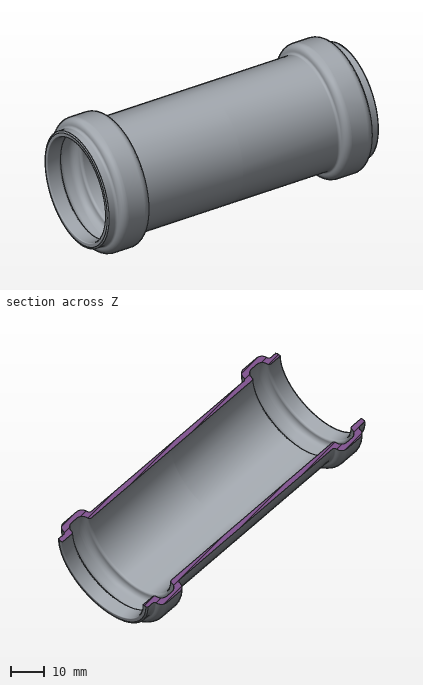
import cadquery as cq
import math

length = 94.0
wall = 1.8
bead_radius = 42.4 / 2
collar_radius = 36.6 / 2
tube_radius = 36.3 / 2

bead_crown_start = 5.45
bead_crown_end = 11.1

crown_round = 2.3
root_round = 0.8
shoulder_turn = math.radians(80)

outer_rim_width = 0.6
outer_rim_depth = 0.3
inner_rim_round = 0.3


def add_shoulder(profile, crown, root_radius, direction, rising):
    """Add the S-curve between the crown point (radius, y) and the pipe wall at root_radius.

    direction is the sense in Y from crown to root; rising curves are drawn from root to crown.
    """
    crown_radius, crown_y = crown
    rounds = crown_round + root_round
    sine = math.sin(shoulder_turn)
    cosine = math.cos(shoulder_turn)
    flank = (crown_radius - root_radius - rounds * (1 - cosine)) / sine
    root_y = crown_y + direction * (rounds * sine + flank * cosine)

    def crown_point(angle):
        return (crown_radius - crown_round * (1 - math.cos(angle)),
                crown_y + direction * crown_round * math.sin(angle))

    def root_point(angle):
        return (root_radius + root_round * (1 - math.cos(angle)),
                root_y - direction * root_round * math.sin(angle))

    crown_arc = [crown_point(0), crown_point(shoulder_turn / 2), crown_point(shoulder_turn)]
    root_arc = [root_point(shoulder_turn), root_point(shoulder_turn / 2), root_point(0)]
    first, second = crown_arc, root_arc
    if rising:
        first, second = root_arc[::-1], crown_arc[::-1]
    return (
        profile
        .lineTo(*first[0])
        .threePointArc(first[1], first[2])
        .lineTo(*second[0])
        .threePointArc(second[1], second[2])
    )


def half_solid(inset):
    """Solid of revolution for the -Y half, bounded by the wall moved inward by inset."""
    end_y = -length / 2
    crown_start = (bead_radius - inset, end_y + bead_crown_start + inset)
    crown_end = (bead_radius - inset, end_y + bead_crown_end - inset)
    profile = cq.Workplane("XY").moveTo(0, end_y).lineTo(collar_radius - inset, end_y)
    profile = add_shoulder(profile, crown_start, collar_radius - inset, -1, rising=True)
    profile = add_shoulder(profile, crown_end, tube_radius - inset, 1, rising=False)
    profile = profile.lineTo(tube_radius - inset, 0).lineTo(0, 0).close()
    return profile.revolve(360, (0, 0, 0), (0, 1, 0))


def rim_bevel():
    """Ring removed from the outer edge of the collar rim."""
    end_y = -length / 2
    return (
        cq.Workplane("XY")
        .moveTo(collar_radius - outer_rim_width, end_y)
        .lineTo(collar_radius, end_y)
        .lineTo(collar_radius, end_y + outer_rim_depth)
        .close()
        .revolve(360, (0, 0, 0), (0, 1, 0))
    )


half = half_solid(0).cut(half_solid(wall)).cut(rim_bevel())
half = half.faces("<Y").edges(cq.selectors.RadiusNthSelector(0)).fillet(inner_rim_round)
result = half.union(half.mirror("XZ"))